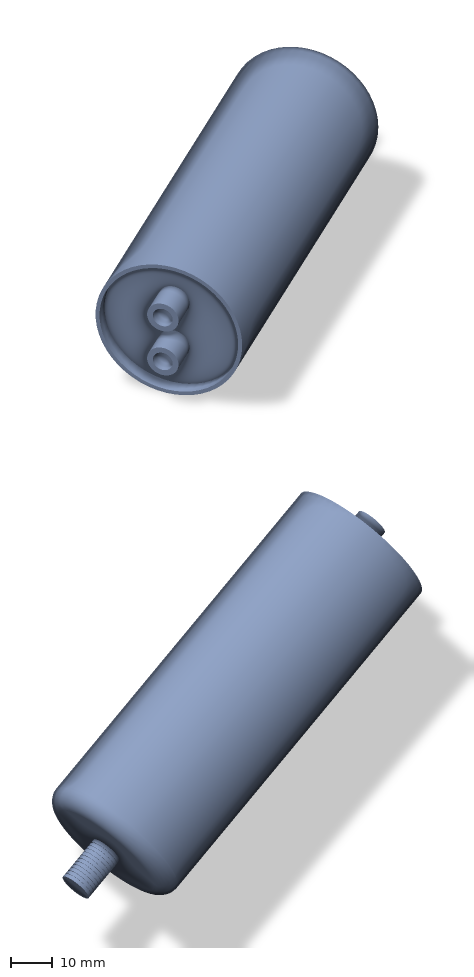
import cadquery as cq

total_length = 114.9
can_diameter = 37.6
terminal_projection = 4.3
stud_length = 12.0
can_length = total_length - terminal_projection - stud_length

shoulder_radius = 4.0
rim_thickness = 1.0
recess_depth = 3.5

terminal_diameter = 8.0
terminal_bore = 5.0
terminal_spacing = 13.0
terminal_length = recess_depth + terminal_projection

stud_diameter = 8.0
groove_count = 11
groove_width = 0.2
groove_depth = 0.2
land_width = 0.8
groove_pitch = land_width + groove_width


def cylinder_along_y(diameter, start, length):
    """Round bar on the Y axis, running from start towards +Y."""
    plane = cq.Workplane("XZ", origin=(0, start, 0))
    return plane.circle(diameter / 2).extrude(-length)


def make_can():
    """Can with a rounded far shoulder and a recessed terminal face."""
    can = cylinder_along_y(can_diameter, 0, can_length)
    can = can.faces(">Y").edges().fillet(shoulder_radius)
    recess = cylinder_along_y(can_diameter - 2 * rim_thickness, 0, recess_depth)
    return can.cut(recess)


def make_stud():
    """Mounting stud with narrow square ring grooves, evenly pitched from its free end."""
    stud = cylinder_along_y(stud_diameter, can_length, stud_length)
    for index in range(1, groove_count + 1):
        start = can_length + stud_length - index * groove_pitch
        ring = cylinder_along_y(stud_diameter, start, groove_width)
        core = cylinder_along_y(stud_diameter - 2 * groove_depth, start, groove_width)
        stud = stud.cut(ring.cut(core))
    return stud


def make_terminal(height):
    """Tubular terminal standing on the recessed face at the given height."""
    tube = cylinder_along_y(terminal_diameter, -terminal_projection, terminal_length)
    bore = cylinder_along_y(terminal_bore, -terminal_projection, terminal_length)
    return tube.cut(bore).translate((0, 0, height))


can = make_can()
stud = make_stud()
terminals = [make_terminal(side * terminal_spacing / 2) for side in (-1, 1)]

result = cq.Compound.makeCompound([can.val(), stud.val(), *[t.val() for t in terminals]])